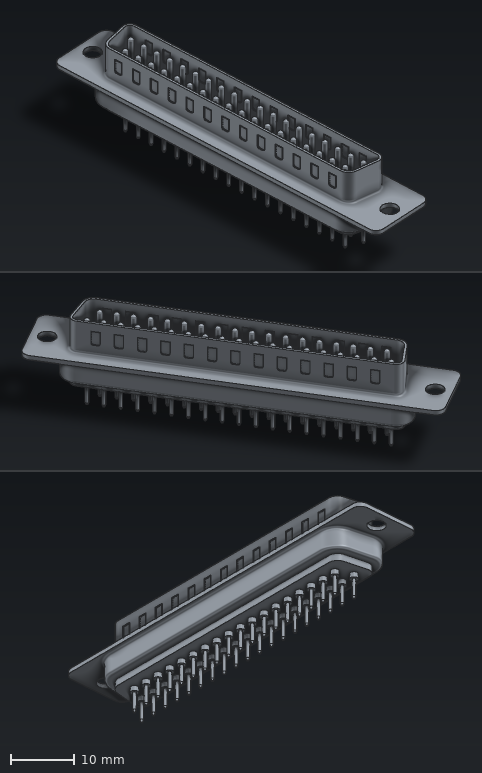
import cadquery as cq
import math


overall_height = 16.8

flange_length = 69.35
flange_width = 12.55
flange_thickness = 0.8
flange_corner_radius = 1.6
mounting_hole_diameter = 3.05
mounting_hole_spacing = 63.5

shell_half_width = 27.0
shell_depth = 7.6
side_tilt = math.radians(10)
wide_corner_radius = 1.4
narrow_corner_radius = 1.95

shell_height = 6.0
shell_wall = 0.45
cavity_floor = 0.0
bend_radius = 0.6

body_offset = 1.65
body_bottom = -4.8
insulator_bottom = -6.1

wide_row_length = 49.8
wide_row_count = 19
narrow_row_count = wide_row_count - 1
contact_pitch = wide_row_length / (wide_row_count - 1)
row_spacing = 2.85
pin_diameter = 1.05
pin_top = 5.35
collar_diameter = 1.4
collar_bottom = -7.1
tail_diameter = 0.6
tail_tip_length = 0.4
tail_tip_radius = 0.15
tail_bottom = shell_height - overall_height

dimple_count = 13
dimple_pitch = 3.8
dimple_width = 1.5
dimple_top = 4.45
dimple_bottom = 1.95
dimple_corner_radius = 0.4
dimple_depth = 0.15


def d_prism(offset, bottom, top):
    """Prism on the D-shaped outline, grown outwards by offset."""
    half_depth = shell_depth / 2 + offset
    middle = shell_half_width + offset / math.cos(side_tilt)
    lean = half_depth * math.tan(side_tilt)
    corners = [
        (-middle - lean, half_depth),
        (middle + lean, half_depth),
        (middle - lean, -half_depth),
        (-middle + lean, -half_depth),
    ]
    prism = cq.Workplane("XY").workplane(offset=bottom).polyline(corners).close().extrude(top - bottom)
    prism = prism.edges("|Z and >Y").fillet(wide_corner_radius + offset)
    return prism.edges("|Z and <Y").fillet(narrow_corner_radius + offset)


def root_edges(offset, height):
    """Selector for the edges where a D-shaped wall meets the flange, leaving out the flange rim."""
    margin = 0.1
    half_x = flange_length / 2 - flange_corner_radius
    half_y = shell_depth / 2 + offset + margin
    low_corner = (-half_x, -half_y, height - margin)
    high_corner = (half_x, half_y, height + margin)
    return cq.selectors.BoxSelector(low_corner, high_corner)


def make_housing():
    """Flange, shell block and body, with rounded bends where they meet."""
    flange = cq.Workplane("XY").workplane(offset=-flange_thickness)
    flange = flange.rect(flange_length, flange_width).extrude(flange_thickness)
    flange = flange.edges("|Z").fillet(flange_corner_radius)
    housing = flange.union(d_prism(0, 0, shell_height))
    housing = housing.union(d_prism(body_offset, body_bottom, -flange_thickness))
    housing = housing.faces("<Z").edges().fillet(bend_radius)
    housing = housing.edges(root_edges(0, 0)).fillet(bend_radius)
    return housing.edges(root_edges(body_offset, -flange_thickness)).fillet(bend_radius)


def make_mounting_holes():
    holes = cq.Workplane("XY").workplane(offset=-flange_thickness)
    holes = holes.pushPoints([(-mounting_hole_spacing / 2, 0), (mounting_hole_spacing / 2, 0)])
    return holes.circle(mounting_hole_diameter / 2).extrude(flange_thickness)


def row_places(count, pitch):
    """Evenly spaced X places, centred on zero."""
    return [(i - (count - 1) / 2) * pitch for i in range(count)]


def make_dimples(end_y):
    """Row of U-shaped blocks, one dimple deep, with their +Y faces at end_y."""
    height = dimple_top - dimple_bottom
    block = cq.Workplane("XY").box(dimple_width, dimple_depth, height)
    block = block.faces("<Z").edges("|Y").fillet(dimple_corner_radius)
    middle_z = (dimple_top + dimple_bottom) / 2
    blocks = cq.Workplane("XY")
    for x in row_places(dimple_count, dimple_pitch):
        blocks = blocks.add(block.translate((x, end_y - dimple_depth / 2, middle_z)))
    return blocks.combine()


def make_contact():
    """One contact turned about Z: round-ended pin, stem in the insulator, collar and pointed tail."""
    pin_radius = pin_diameter / 2
    collar_radius = collar_diameter / 2
    tail_radius = tail_diameter / 2
    profile = (
        cq.Workplane("XZ")
        .moveTo(0, tail_bottom)
        .lineTo(tail_tip_radius, tail_bottom)
        .lineTo(tail_radius, tail_bottom + tail_tip_length)
        .lineTo(tail_radius, collar_bottom)
        .lineTo(collar_radius, collar_bottom)
        .lineTo(collar_radius, insulator_bottom)
        .lineTo(pin_radius, insulator_bottom)
        .lineTo(pin_radius, pin_top - pin_radius)
        .radiusArc((0, pin_top), -pin_radius)
        .close()
    )
    return profile.revolve(360, (0, 0), (0, 1))


def make_contacts():
    contact = make_contact()
    rows = [(wide_row_count, row_spacing / 2), (narrow_row_count, -row_spacing / 2)]
    contacts = cq.Workplane("XY")
    for count, y in rows:
        for x in row_places(count, contact_pitch):
            contacts = contacts.add(contact.translate((x, y, 0)))
    return contacts.combine()


def dimple_faces():
    """The +Y end of every dimple row: outer and inner face of the +Y wall, then of the -Y wall."""
    outer_y = shell_depth / 2
    inner_y = outer_y - shell_wall
    return [outer_y, inner_y + dimple_depth, dimple_depth - outer_y, -inner_y]


result = make_housing()
result = result.union(d_prism(0, insulator_bottom, body_bottom))
result = result.cut(d_prism(-shell_wall, cavity_floor, shell_height))
result = result.cut(make_mounting_holes())
for face_y in dimple_faces():
    result = result.cut(make_dimples(face_y))

result = result.union(make_contacts())